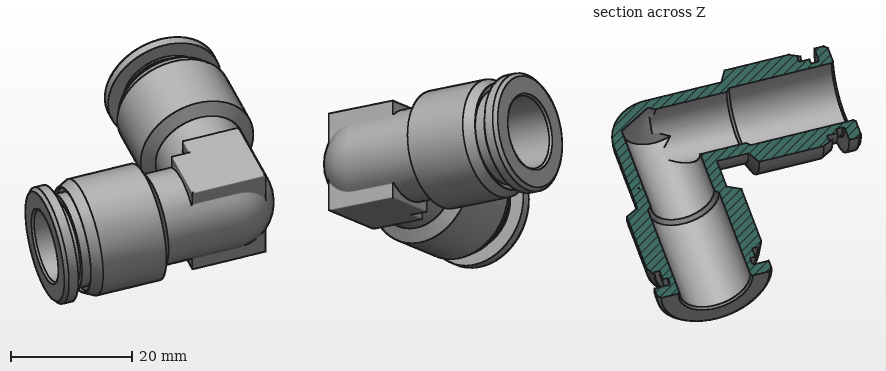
import cadquery as cq
import math

LEG_LENGTH = 32.0

FLANGE_RADIUS = 9.9
FLANGE_CHAMFER = 0.6
FLANGE_END = 2.25
NECK_RADIUS = 7.1
NECK_LEDGE_RADIUS = 7.3
NECK_LEDGE_END = 2.55
NECK_END = 3.6
COLLAR_RADIUS = 8.0
RECESS_RADIUS = 8.9
RECESS_FLOOR = 5.4
SLEEVE_RADIUS = 9.9
SLEEVE_FRONT_RADIUS = 9.0
SLEEVE_FRONT = 4.8
SLEEVE_START = 6.6
SLEEVE_END = 17.7
STEM_RADIUS = 7.72
STEM_START = 18.9

BORE_RADIUS = 5.45
MOUTH_RADIUS = 6.4
TUBE_RADIUS = 6.1
MOUTH_CHAMFER_DEPTH = 0.4
TUBE_DEPTH = 18.0
X_BORE_OVERRUN = 2.85
DRILL_POINT_ANGLE = 118.0

PAD_HEIGHT = 8.4
PAD_OUTER = 4.95
PAD_INNER = 7.9
PAD_NOTCH = 4.9
PAD_EDGE_ROUND = 0.2
PAD_FOOT_FILLET = 0.2

TOLERANCE = 0.001


def revolve_leg(profile):
    """Revolve (x, radius) points about the X axis."""
    return cq.Workplane("XY").polyline(profile).close().revolve(360, (0, 0, 0), (1, 0, 0))


def to_y_leg(body):
    """Turn a body lying along -X so that it lies along -Y."""
    return body.rotate((0, 0, 0), (0, 0, 1), 90)


def from_mouth(depth):
    """X coordinate at a given depth inwards from the mouth."""
    return depth - LEG_LENGTH


def leg_body():
    """Solid leg along -X: flange, neck, collar, recessed sleeve front, sleeve and stem."""
    stations = [
        (0, 0),
        (0, FLANGE_RADIUS - FLANGE_CHAMFER),
        (FLANGE_CHAMFER, FLANGE_RADIUS),
        (FLANGE_END, FLANGE_RADIUS),
        (FLANGE_END, NECK_LEDGE_RADIUS),
        (NECK_LEDGE_END, NECK_RADIUS),
        (NECK_END, NECK_RADIUS),
        (NECK_END, COLLAR_RADIUS),
        (RECESS_FLOOR, COLLAR_RADIUS),
        (RECESS_FLOOR, RECESS_RADIUS),
        (SLEEVE_FRONT, RECESS_RADIUS),
        (SLEEVE_FRONT, SLEEVE_FRONT_RADIUS),
        (SLEEVE_START, SLEEVE_RADIUS),
        (SLEEVE_END, SLEEVE_RADIUS),
        (STEM_START, STEM_RADIUS),
        (LEG_LENGTH, STEM_RADIUS),
        (LEG_LENGTH, 0),
    ]
    return revolve_leg([(from_mouth(depth), radius) for depth, radius in stations])


def bore_outline(end):
    """Stepped bore from the mouth to the given X coordinate, without its closing axis point."""
    return [
        (from_mouth(0), 0),
        (from_mouth(0), MOUTH_RADIUS),
        (from_mouth(MOUTH_CHAMFER_DEPTH), TUBE_RADIUS),
        (from_mouth(TUBE_DEPTH), TUBE_RADIUS),
        (from_mouth(TUBE_DEPTH + TUBE_RADIUS - BORE_RADIUS), BORE_RADIUS),
        (end, BORE_RADIUS),
    ]


def x_bore():
    """Bore along X, ending in a drill cone."""
    cone_length = BORE_RADIUS / math.tan(math.radians(DRILL_POINT_ANGLE / 2))
    return revolve_leg(bore_outline(X_BORE_OVERRUN) + [(X_BORE_OVERRUN + cone_length, 0)])


def y_bore():
    """Bore along Y, ending flat on the centre plane."""
    return to_y_leg(revolve_leg(bore_outline(0) + [(0, 0)]))


def label_pads():
    """L-shaped block through the elbow whose ends form the two pads."""
    outline = [
        (-PAD_INNER, PAD_OUTER),
        (PAD_OUTER, PAD_OUTER),
        (PAD_OUTER, -PAD_INNER),
        (-PAD_NOTCH, -PAD_INNER),
        (-PAD_NOTCH, -PAD_NOTCH),
        (-PAD_INNER, -PAD_NOTCH),
    ]
    block = cq.Workplane("XY").polyline(outline).close().extrude(PAD_HEIGHT, both=True)
    return block.faces("|Z").edges().fillet(PAD_EDGE_ROUND)


def pad_foot_edges(body):
    """Edges where the outer pad walls, but not those of the notch, meet the stems and the elbow."""
    wall_offsets = (-PAD_INNER, PAD_OUTER)
    wall_top = PAD_HEIGHT - PAD_EDGE_ROUND

    def lies_in_wall(low, length):
        return length < TOLERANCE and any(abs(low - offset) < TOLERANCE for offset in wall_offsets)

    def is_foot(edge):
        box = edge.BoundingBox()
        low = -PAD_INNER - TOLERANCE
        high = PAD_OUTER + TOLERANCE
        inside = min(box.xmin, box.ymin) > low and max(box.xmax, box.ymax) < high
        below_top = max(abs(box.zmin), abs(box.zmax)) < wall_top - TOLERANCE
        in_one_wall = lies_in_wall(box.xmin, box.xlen) != lies_in_wall(box.ymin, box.ylen)
        return inside and below_top and in_one_wall

    return [edge for edge in body.edges().vals() if is_foot(edge)]


x_leg = leg_body()
elbow = cq.Workplane("XY").sphere(STEM_RADIUS)
body = x_leg.union(to_y_leg(x_leg)).union(elbow).union(label_pads())
body = body.newObject(pad_foot_edges(body)).fillet(PAD_FOOT_FILLET)
result = body.cut(x_bore()).cut(y_bore())